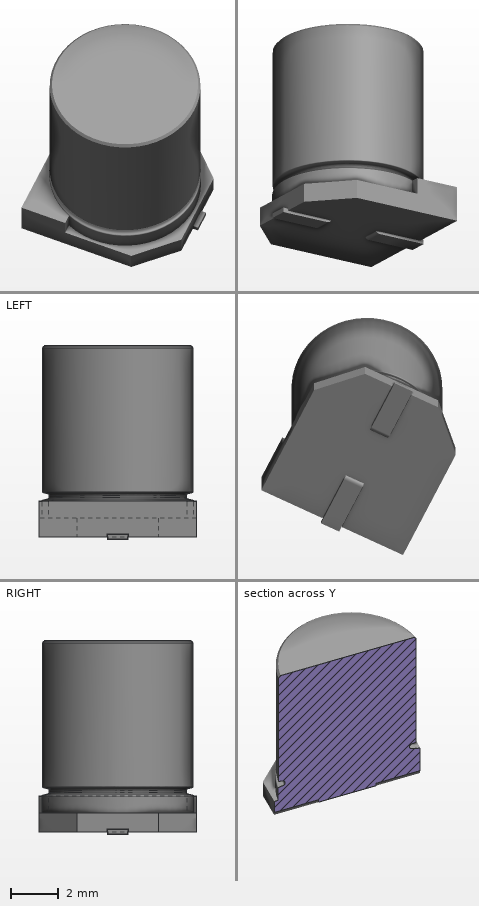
import cadquery as cq

total_height = 8.11
base_bottom = 0.1
shelf_height = 0.9
base_top = 1.6

base_width = 6.6
corner_chamfer = 1.6
shelf_start_x = -1.305

can_radius = 3.155
top_chamfer = 0.1
seat_radius = 3.18

groove_radius = 2.87
groove_mid_height = 1.8
groove_mouth_half_height = 0.17
groove_floor_half_height = 0.1
groove_lip_fillet = 0.05
groove_floor_fillet = 0.07
rim_tolerance = 0.01

lead_span = 7.0
lead_width = 0.84
lead_thickness = 0.2
lead_inner_x = 1.11
lead_bend_radius = 0.195
lead_clearance = 0.03


def make_base():
    """Square base with two cut corners and a low shelf around the can seat."""
    base = (
        cq.Workplane("XY", origin=(0, 0, base_bottom))
        .rect(base_width, base_width)
        .extrude(base_top - base_bottom)
        .edges("|Z and >X")
        .chamfer(corner_chamfer)
    )
    shelf_length = base_width / 2 - shelf_start_x
    shelf_space = cq.Workplane("XY", origin=(shelf_start_x, 0, shelf_height)).box(
        shelf_length, base_width, base_top - shelf_height, centered=(False, True, False)
    )
    return base.cut(shelf_space)


def round_rim(body, height, radius):
    """Fillet the circular edge that lies around the Z axis at the given height."""
    rim = cq.selectors.BoxSelector(
        (-rim_tolerance, -rim_tolerance, height - rim_tolerance),
        (rim_tolerance, rim_tolerance, height + rim_tolerance),
    )
    return body.edges(rim).fillet(radius)


def make_can():
    """Turned can with its seat, rounded crimp groove and chamfered top edge."""
    mouth_bottom = groove_mid_height - groove_mouth_half_height
    mouth_top = groove_mid_height + groove_mouth_half_height
    floor_bottom = groove_mid_height - groove_floor_half_height
    floor_top = groove_mid_height + groove_floor_half_height
    profile = [
        (0, base_bottom),
        (seat_radius, base_bottom),
        (seat_radius, mouth_bottom),
        (groove_radius, floor_bottom),
        (groove_radius, floor_top),
        (can_radius, mouth_top),
        (can_radius, total_height - top_chamfer),
        (can_radius - top_chamfer, total_height),
        (0, total_height),
    ]
    can = cq.Workplane("XZ").polyline(profile).close().revolve(360, (0, 0, 0), (0, 1, 0))
    for height in (mouth_bottom, mouth_top):
        can = round_rim(can, height, groove_lip_fillet)
    for height in (floor_bottom, floor_top):
        can = round_rim(can, height, groove_floor_fillet)
    return can


def make_lead():
    """Flat lead on the -X side, with its lower inner edge rounded."""
    lead_length = lead_span / 2 - lead_inner_x
    return (
        cq.Workplane("XY", origin=(-lead_span / 2, 0, 0))
        .box(lead_length, lead_width, lead_thickness, centered=(False, True, False))
        .edges("|Y and >X and <Z")
        .fillet(lead_bend_radius)
    )


def make_lead_channel():
    """Clearance channel under the base, ending where the rounding of the lead starts."""
    channel_length = lead_span / 2 - lead_inner_x - lead_bend_radius
    return cq.Workplane("XY", origin=(-lead_span / 2, 0, 0)).box(
        channel_length,
        lead_width + 2 * lead_clearance,
        lead_thickness + lead_clearance,
        centered=(False, True, False),
    )


result = make_base().union(make_can())
for side_angle in (0, 180):
    channel = make_lead_channel().rotate((0, 0, 0), (0, 0, 1), side_angle)
    lead = make_lead().rotate((0, 0, 0), (0, 0, 1), side_angle)
    result = result.cut(channel).union(lead)